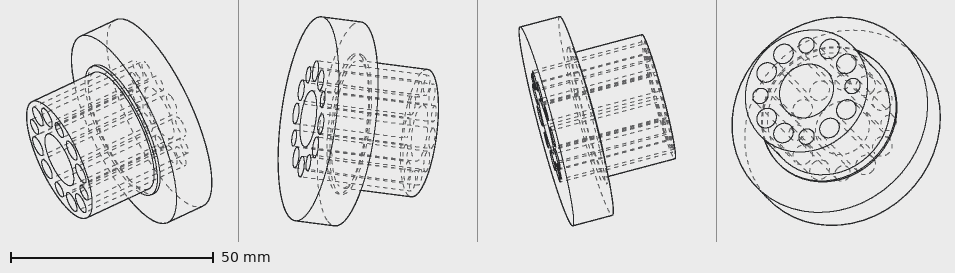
import cadquery as cq
import math

flange_thickness = 10.16
shoulder_thickness = 0.762
hub_length = 17.78
total_length = flange_thickness + shoulder_thickness + hub_length

flange_diameter = 50.8
shoulder_diameter = 34.925
hub_diameter = 31.75

bore_diameter = 14.0
hole_circle_radius = 11.938
hole_count = 12
small_hole_spacing = 3
small_hole_diameter = 4.0
large_hole_diameter = 5.1


def cylinder(diameter, length, x=0, z=0):
    """Cylinder parallel to Y, running from Y = 0 toward -Y."""
    return cq.Workplane("XZ").center(x, z).circle(diameter / 2).extrude(length)


def stepped_body():
    """Flange, thin shoulder and hub as concentric cylinders."""
    flange = cylinder(flange_diameter, flange_thickness)
    shoulder = cylinder(shoulder_diameter, flange_thickness + shoulder_thickness)
    hub = cylinder(hub_diameter, total_length)
    return flange.union(shoulder).union(hub)


def drill_ring_holes(body):
    """Cut through holes on one circle, with the small ones on the X and Z axes."""
    for index in range(hole_count):
        angle = 2 * math.pi * index / hole_count
        x = hole_circle_radius * math.cos(angle)
        z = hole_circle_radius * math.sin(angle)
        is_small = index % small_hole_spacing == 0
        diameter = small_hole_diameter if is_small else large_hole_diameter
        body = body.cut(cylinder(diameter, total_length, x, z))
    return body


body = stepped_body().cut(cylinder(bore_diameter, total_length))
result = drill_ring_holes(body)